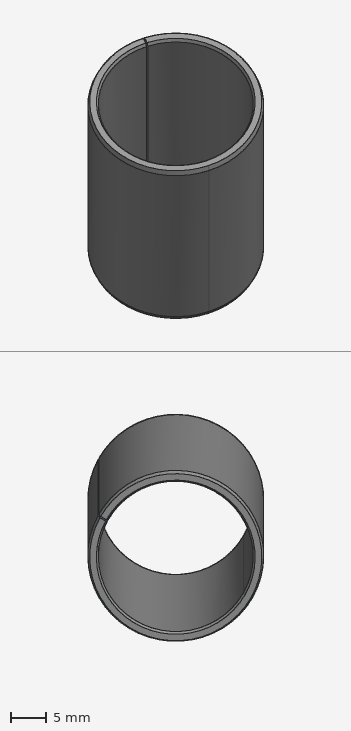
import cadquery as cq

length = 35.0
outer_diameter = 25.0
wall = 1.5
inner_diameter = outer_diameter - 2 * wall

outer_chamfer_height = 0.8
outer_chamfer_depth = 0.28
inner_chamfer_height = 0.5
inner_chamfer_depth = 0.28

slit_width = 0.2

outer_radius = outer_diameter / 2
inner_radius = inner_diameter / 2
half_length = length / 2


def bush_body():
    """Revolve the chamfered wall section about Z."""
    section = [
        (inner_radius, half_length - inner_chamfer_height),
        (inner_radius + inner_chamfer_depth, half_length),
        (outer_radius - outer_chamfer_depth, half_length),
        (outer_radius, half_length - outer_chamfer_height),
        (outer_radius, outer_chamfer_height - half_length),
        (outer_radius - outer_chamfer_depth, -half_length),
        (inner_radius + inner_chamfer_depth, -half_length),
        (inner_radius, inner_chamfer_height - half_length),
    ]
    return cq.Workplane("XZ").polyline(section).close().revolve(360, (0, 0), (0, 1))


def joint_slit():
    """Thin block from the axis out past the -X wall, over the full length."""
    return cq.Workplane("XY").box(
        outer_diameter, slit_width, length, centered=(False, False, True)
    ).translate((-outer_diameter, 0, 0))


result = bush_body().cut(joint_slit())